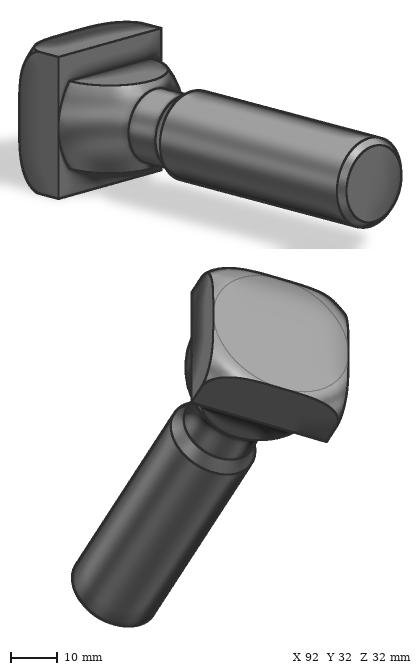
import cadquery as cq
import math

total_length = 92.0
head_width = 32.0
head_length = 12.0

ball_radius = head_width / 2
ball_thickness = 19.8

neck_radius = 8.3
neck_end = 33.9
shank_radius = 10.0
shank_start = 36.9
end_chamfer = 1.5


def make_head():
    """Square head whose corners are rounded by a revolved fillet tangent to the front face."""
    corner_radius = head_width / math.sqrt(2)
    face_radius = head_width / 2
    corner_fillet = corner_radius - face_radius
    square = cq.Workplane("YZ").rect(head_width, head_width).extrude(head_length)
    rounding = cq.Workplane("YZ").circle(corner_radius).extrude(head_length)
    rounding = rounding.faces("<X").edges().fillet(corner_fillet)
    return square.intersect(rounding)


def make_ball():
    """Half ball centred on the back face of the head, with two parallel flats."""
    ball = cq.Workplane("XY").sphere(ball_radius).translate((head_length, 0, 0))
    slab = cq.Workplane("XY").box(
        ball_radius, head_width, ball_thickness, centered=(False, True, True)
    )
    return ball.intersect(slab.translate((head_length, 0, 0)))


def make_stem():
    """Neck, conical shoulder and chamfered shank, turned about the X axis."""
    return (
        cq.Workplane("XY")
        .moveTo(head_length, 0)
        .lineTo(head_length, neck_radius)
        .lineTo(neck_end, neck_radius)
        .lineTo(shank_start, shank_radius)
        .lineTo(total_length - end_chamfer, shank_radius)
        .lineTo(total_length, shank_radius - end_chamfer)
        .lineTo(total_length, 0)
        .close()
        .revolve(360, (0, 0, 0), (1, 0, 0))
    )


result = make_head().union(make_ball()).union(make_stem())